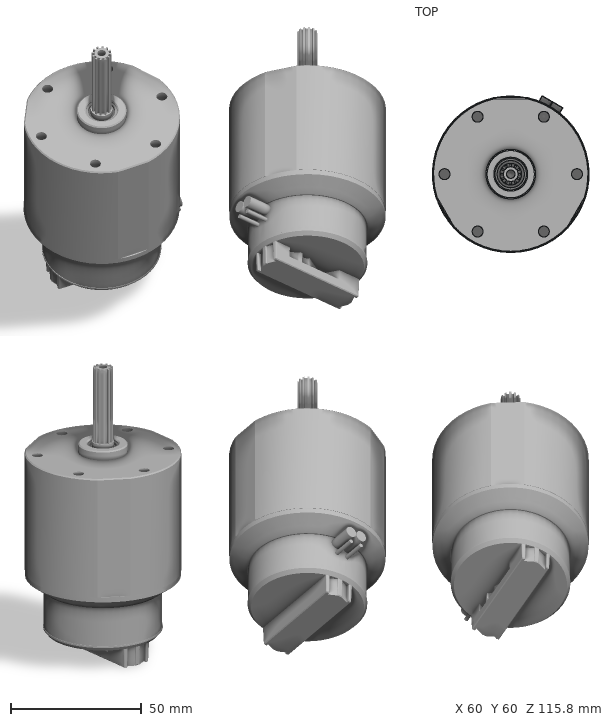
import cadquery as cq
import math

total_height = 115.8
bar_height = 7.9
can_lip_bottom = 9.4
can_lip_top = 10.1
can_top = 25.8
cone_top = 30.7
flange_top = 32.8
gearbox_top = 81.1
boss_top = 84.8
collar_top = 85.5

gearbox_radius = 30.0
flat_distance = 29.3
flat_angles = (90, 210, 330)
flange_radius = 29.9
cone_bottom_radius = 23.2
gearbox_chamfer = 0.5
boss_radius = 9.5
boss_chamfer = 0.5
bore_radius = 6.0
bore_chamfer = 0.5
bore_depth = 0.9
inner_bore_radius = 5.2
inner_bore_floor = 82.8
screw_count = 6
screw_circle_radius = 25.4
screw_hole_diameter = 4.2
screw_hole_depth = 9.3

collar_radius = 4.2
spline_radius = 3.8
spline_root_radius = 2.8
tooth_count = 12
spline_groove_width = 1.2
shaft_bore_diameter = 3.2
shaft_bore_depth = 17.4
drill_point_angle = 118

can_radius = 22.7
can_lip_radius = 22.9
can_end_radius = 21.7
bar_angle = 60
bar_width = 12.3
bar_taper = 2
bar_chamfer = 0.3
middle_rib_width = 2.1
side_rib_width = 1.6
end_groove_shallow = 0.6
end_groove_deep = 2.2
rib_fillet = 0.3
window_floor_z = 3.7
window_left_y = 15.0
window_right_y = -6.3
window_crest_y = 10.8
recess_start_y = 10.2
recess_end_y = 5.5
window_shelf_end_y = -3.7
window_shelf_x = -2.9
window_crest_x = 0.3
window_left_x = 7.1
window_right_x = 1.5
window_recess_depth = 2.3

lead_spacing = 4.6
lead_inner_distance = 19.7
lead_tip_distance = 32.0
wire_diameter = 4.5
wire_z = 23.3
pin_diameter = 1.6
pin_z = 18.9


def make_gearbox():
    """Housing with three flats above a full round flange, a cone below and a bearing boss on top."""
    base = (
        cq.Workplane("XZ")
        .moveTo(0, can_top)
        .lineTo(cone_bottom_radius, can_top)
        .lineTo(flange_radius, cone_top)
        .lineTo(flange_radius, flange_top)
        .lineTo(0, flange_top)
        .close()
        .revolve(360, (0, 0), (0, 1))
    )
    drum_height = gearbox_top - flange_top
    drum = cq.Workplane("XY").workplane(offset=flange_top).circle(gearbox_radius).extrude(drum_height)
    for angle in flat_angles:
        outside = (
            cq.Workplane("XY")
            .workplane(offset=flange_top)
            .center(flat_distance + gearbox_radius / 2, 0)
            .rect(gearbox_radius, 2 * gearbox_radius)
            .extrude(drum_height)
            .rotate((0, 0, 0), (0, 0, 1), angle)
        )
        drum = drum.cut(outside)
    drum = drum.faces(">Z").edges().chamfer(gearbox_chamfer)

    boss = (
        cq.Workplane("XY")
        .workplane(offset=gearbox_top)
        .circle(boss_radius)
        .extrude(boss_top - gearbox_top)
        .faces(">Z")
        .edges()
        .chamfer(boss_chamfer)
    )
    bore_profile = (
        cq.Workplane("XZ")
        .moveTo(0, inner_bore_floor)
        .lineTo(inner_bore_radius, inner_bore_floor)
        .lineTo(inner_bore_radius, boss_top - bore_depth)
        .lineTo(bore_radius, boss_top - bore_depth)
        .lineTo(bore_radius, boss_top - bore_chamfer)
        .lineTo(bore_radius + bore_chamfer, boss_top)
        .lineTo(0, boss_top)
        .close()
    )
    bore = bore_profile.revolve(360, (0, 0), (0, 1))
    screw_holes = (
        cq.Workplane("XY")
        .workplane(offset=gearbox_top)
        .polarArray(screw_circle_radius, 0, 360, screw_count)
        .circle(screw_hole_diameter / 2)
        .extrude(-screw_hole_depth)
    )
    return base.union(drum).union(boss).cut(bore).cut(screw_holes)


def make_shaft():
    """Splined shaft on a round collar, with a drilled hole in its end."""
    collar = (
        cq.Workplane("XY")
        .workplane(offset=inner_bore_floor)
        .circle(collar_radius)
        .extrude(collar_top - inner_bore_floor)
    )
    spline_length = total_height - collar_top
    spline = cq.Workplane("XY").workplane(offset=collar_top).circle(spline_radius).extrude(spline_length)
    pitch_angle = 360 / tooth_count
    grooves = (
        cq.Workplane("XY")
        .workplane(offset=collar_top)
        .polarArray(spline_root_radius + spline_radius / 2, pitch_angle / 2, 360, tooth_count)
        .rect(spline_radius, spline_groove_width)
        .extrude(spline_length)
    )
    hole_radius = shaft_bore_diameter / 2
    hole_bottom = total_height - shaft_bore_depth
    point_depth = hole_radius / math.tan(math.radians(drill_point_angle / 2))
    hole = (
        cq.Workplane("XZ")
        .moveTo(0, hole_bottom - point_depth)
        .lineTo(hole_radius, hole_bottom)
        .lineTo(hole_radius, total_height)
        .lineTo(0, total_height)
        .close()
        .revolve(360, (0, 0), (0, 1))
    )
    return collar.union(spline.cut(grooves)).cut(hole)


def make_terminal_bar():
    """Tapered bar with ribbed round ends, and a window in the side that faces -X."""
    half_width = bar_width / 2
    half_side = math.sqrt(can_end_radius**2 - half_width**2)
    bar = (
        cq.Workplane("XY")
        .workplane(offset=bar_height)
        .moveTo(-half_side, half_width)
        .lineTo(half_side, half_width)
        .threePointArc((can_end_radius, 0), (half_side, -half_width))
        .lineTo(-half_side, -half_width)
        .threePointArc((-can_end_radius, 0), (-half_side, half_width))
        .close()
        .extrude(-bar_height, taper=bar_taper)
        .faces("<Z")
        .edges()
        .chamfer(bar_chamfer)
    )

    groove_start = middle_rib_width / 2
    groove_end = half_width - side_rib_width
    end_groove = (
        cq.Workplane("XY")
        .moveTo(can_radius, groove_start)
        .lineTo(can_end_radius - end_groove_shallow, groove_start)
        .lineTo(can_end_radius - end_groove_deep, groove_end)
        .lineTo(can_radius, groove_end)
        .close()
        .extrude(bar_height)
    )
    end_groove_pair = end_groove.union(end_groove.mirror("XZ"))
    bar = bar.cut(end_groove_pair).cut(end_groove_pair.mirror("YZ"))

    upright_edges = cq.selectors.BoxSelector(
        (-can_radius, -can_radius, bar_height / 3),
        (can_radius, can_radius, bar_height * 2 / 3),
    )
    rib_edges = upright_edges - cq.selectors.ParallelDirSelector(cq.Vector(0, 0, 1))
    bar = bar.edges(rib_edges).fillet(rib_fillet)
    bar = bar.rotate((0, 0, 0), (0, 0, 1), bar_angle)

    recess_middle = (window_shelf_x + window_recess_depth, (recess_start_y + recess_end_y) / 2)
    window = (
        cq.Workplane("XY")
        .workplane(offset=window_floor_z)
        .moveTo(-can_end_radius, window_left_y)
        .lineTo(window_left_x, window_left_y)
        .lineTo(window_crest_x, window_crest_y)
        .lineTo(window_shelf_x, recess_start_y)
        .threePointArc(recess_middle, (window_shelf_x, recess_end_y))
        .lineTo(window_shelf_x, window_shelf_end_y)
        .lineTo(window_right_x, window_right_y)
        .lineTo(-can_end_radius, window_right_y)
        .close()
        .extrude(bar_height - window_floor_z)
    )
    return bar.cut(window)


def make_motor(leads):
    """Round can with a lip and chamfer at its lower end, the terminal bar, and a socket for each lead."""
    can = (
        cq.Workplane("XZ")
        .moveTo(0, bar_height)
        .lineTo(can_end_radius, bar_height)
        .lineTo(can_lip_radius, can_lip_bottom)
        .lineTo(can_lip_radius, can_lip_top)
        .lineTo(can_radius, can_lip_top)
        .lineTo(can_radius, can_top)
        .lineTo(0, can_top)
        .close()
        .revolve(360, (0, 0), (0, 1))
    )
    motor = can.union(make_terminal_bar())
    for lead in leads:
        motor = motor.cut(lead)
    return motor


def make_lead(diameter, sideways, height):
    """Straight round lead that points away from the motor axis at the angle of the terminal bar."""
    return (
        cq.Workplane("YZ")
        .workplane(offset=lead_inner_distance)
        .center(sideways, height)
        .circle(diameter / 2)
        .extrude(lead_tip_distance - lead_inner_distance)
        .rotate((0, 0, 0), (0, 0, 1), bar_angle)
    )


lead_offsets = (-lead_spacing / 2, lead_spacing / 2)
wires = [make_lead(wire_diameter, offset, wire_z) for offset in lead_offsets]
pins = [make_lead(pin_diameter, offset, pin_z) for offset in lead_offsets]
leads = wires + pins

gearbox = make_gearbox()
shaft = make_shaft()
motor = make_motor(leads)

result = cq.Compound.makeCompound([gearbox.val(), shaft.val(), motor.val(), *[lead.val() for lead in leads]])